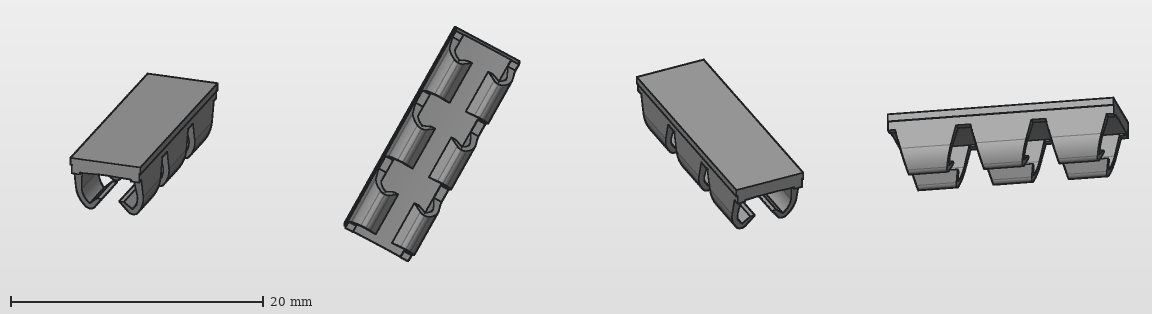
import cadquery as cq

length = 18.3
plate_width = 5.9
plate_thickness = 0.6
height = 4.8

body_half_width = 2.84
body_bottom = -1.32
roof_center_z = -1.1
roof_edge_x = 2.15
roof_edge_z = -1.17

inner_wall_x = 2.35
inner_wall_z = -2.91
inner_bend = (2.21, -3.66)
groove_x = 1.8
groove_z = -4.28

lip_z = -3.7
lip_inner_x = 1.13
lip_tip_x = 0.73
nose_start = (1.37, -4.54)
nose_end = (2.23, -4.55)
outer_bend = (2.67, -3.8)
outer_wall_z = inner_wall_z

foot_count = 3
foot_pitch = length / foot_count
foot_top_width = 4.96
foot_bottom_width = 3.13


def make_plate():
    return (
        cq.Workplane("XY")
        .box(plate_width, length, plate_thickness, centered=(True, True, False))
        .translate((0, 0, -plate_thickness))
    )


def mirrored(point):
    return (-point[0], point[1])


def make_clip_channel():
    """Full-length channel with a slightly arched roof and two inward hooks."""
    return (
        cq.Workplane("XZ")
        .moveTo(-body_half_width, -plate_thickness)
        .lineTo(body_half_width, -plate_thickness)
        .lineTo(body_half_width, outer_wall_z)
        .threePointArc(outer_bend, nose_end)
        .threePointArc((groove_x, -height), nose_start)
        .lineTo(lip_tip_x, lip_z)
        .lineTo(lip_inner_x, lip_z)
        .lineTo(groove_x, groove_z)
        .threePointArc(inner_bend, (inner_wall_x, inner_wall_z))
        .lineTo(roof_edge_x, roof_edge_z)
        .threePointArc((0, roof_center_z), (-roof_edge_x, roof_edge_z))
        .lineTo(-inner_wall_x, inner_wall_z)
        .threePointArc(mirrored(inner_bend), (-groove_x, groove_z))
        .lineTo(-lip_inner_x, lip_z)
        .lineTo(-lip_tip_x, lip_z)
        .lineTo(*mirrored(nose_start))
        .threePointArc((-groove_x, -height), mirrored(nose_end))
        .threePointArc(mirrored(outer_bend), (-body_half_width, outer_wall_z))
        .close()
        .extrude(length / 2, both=True)
    )


def make_side_envelope():
    """Side silhouette: a continuous rail with trapezoidal feet below it."""
    outline = cq.Workplane("YZ").moveTo(-length / 2, 0).lineTo(-length / 2, body_bottom)
    for index in range(foot_count):
        center = (index - (foot_count - 1) / 2) * foot_pitch
        outline = (
            outline.lineTo(center - foot_top_width / 2, body_bottom)
            .lineTo(center - foot_bottom_width / 2, -height)
            .lineTo(center + foot_bottom_width / 2, -height)
            .lineTo(center + foot_top_width / 2, body_bottom)
        )
    return (
        outline.lineTo(length / 2, body_bottom)
        .lineTo(length / 2, 0)
        .close()
        .extrude(plate_width / 2, both=True)
    )


clip_feet = make_clip_channel().intersect(make_side_envelope())
result = make_plate().union(clip_feet)